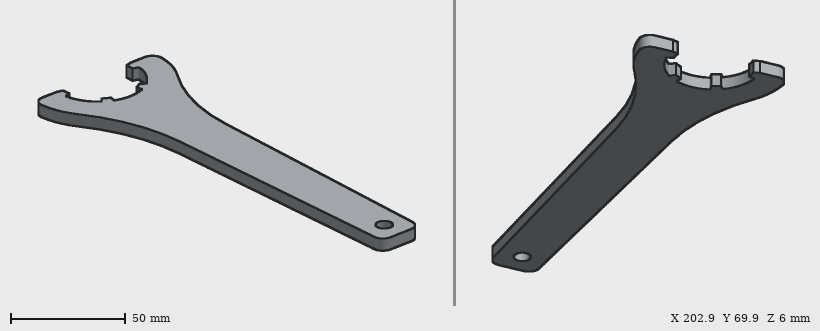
import math

import cadquery as cq

thickness = 6.0
jaw_outer_radius = 35.0
jaw_inner_radius = 21.5
jaw_front_x = -2.93
jaw_corner_radius = 5.0

handle_end_x = 200.0
handle_end_half_width = 11.0
handle_taper_angle = 1.0
handle_corner_radius = 5.0
neck_radius = 90.0

hole_diameter = 7.5
hole_from_end = 11.0

tooth_angles = (-90, -30, 30, 90)
tooth_tip_radius = 18.5
tooth_tip_half_width = 2.1
tooth_flank_angle = 15.0
tooth_overlap = 1.5
tooth_root_radius = 0.3


def make_body():
    """Jaw disc, concave neck and tapered handle as one closed outline, cut flat at the jaw front."""
    taper = math.radians(handle_taper_angle)
    edge_at_origin = handle_end_half_width + handle_end_x * math.tan(taper)

    center_distance = jaw_outer_radius + neck_radius
    edge_distance = edge_at_origin * math.cos(taper) + neck_radius
    along_edge = math.sqrt(center_distance**2 - edge_distance**2)
    neck_x = along_edge * math.cos(taper) + edge_distance * math.sin(taper)
    neck_y = edge_distance * math.cos(taper) - along_edge * math.sin(taper)

    jaw_tangent_angle = math.atan2(neck_y, neck_x)
    neck_start = (
        jaw_outer_radius * math.cos(jaw_tangent_angle),
        jaw_outer_radius * math.sin(jaw_tangent_angle),
    )
    neck_end = (neck_x - neck_radius * math.sin(taper), neck_y - neck_radius * math.cos(taper))
    neck_middle_angle = (jaw_tangent_angle + math.pi + 1.5 * math.pi - taper) / 2
    neck_middle = (
        neck_x + neck_radius * math.cos(neck_middle_angle),
        neck_y + neck_radius * math.sin(neck_middle_angle),
    )

    front_y = math.sqrt(jaw_outer_radius**2 - jaw_front_x**2)
    jaw_middle_angle = (jaw_tangent_angle + math.atan2(front_y, jaw_front_x)) / 2
    jaw_middle = (
        jaw_outer_radius * math.cos(jaw_middle_angle),
        jaw_outer_radius * math.sin(jaw_middle_angle),
    )

    upper_half = (
        cq.Workplane("XY")
        .moveTo(jaw_front_x, 0)
        .lineTo(jaw_front_x, front_y)
        .threePointArc(jaw_middle, neck_start)
        .threePointArc(neck_middle, neck_end)
        .lineTo(handle_end_x, handle_end_half_width)
        .lineTo(handle_end_x, 0)
        .close()
        .extrude(thickness)
    )
    body = upper_half.union(upper_half.mirror("XZ")).clean()
    body = body.edges("|Z and <X").fillet(jaw_corner_radius)
    return body.edges("|Z and >X").fillet(handle_corner_radius)


def make_tooth_blank(angle):
    """Wedge flared outwards that stands in the given direction; its tip is trimmed by the tip circle."""
    flare_per_length = math.tan(math.radians(tooth_flank_angle))
    inner_x = tooth_tip_radius - tooth_overlap
    outer_x = jaw_inner_radius + tooth_overlap
    inner_half_width = tooth_tip_half_width - tooth_overlap * flare_per_length
    outer_half_width = inner_half_width + (outer_x - inner_x) * flare_per_length
    return (
        cq.Workplane("XY")
        .polyline([
            (inner_x, -inner_half_width),
            (outer_x, -outer_half_width),
            (outer_x, outer_half_width),
            (inner_x, inner_half_width),
        ])
        .close()
        .extrude(thickness)
        .rotate((0, 0, 0), (0, 0, 1), angle)
    )


def make_jaw_opening():
    """Round jaw opening that leaves teeth with concave tips and rounded roots."""
    opening = cq.Workplane("XY").circle(jaw_inner_radius).extrude(thickness)
    for angle in tooth_angles:
        opening = opening.cut(make_tooth_blank(angle))
    opening = opening.union(cq.Workplane("XY").circle(tooth_tip_radius).extrude(thickness))

    tooth_middle_radius = (tooth_tip_radius + jaw_inner_radius) / 2
    root_edges = opening.edges("|Z").filter(
        lambda edge: math.hypot(edge.Center().x, edge.Center().y) > tooth_middle_radius
    )
    return root_edges.fillet(tooth_root_radius)


def make_hole():
    """Hanging hole near the end of the handle."""
    return (
        cq.Workplane("XY")
        .center(handle_end_x - hole_from_end, 0)
        .circle(hole_diameter / 2)
        .extrude(thickness)
    )


result = make_body().cut(make_jaw_opening()).cut(make_hole())